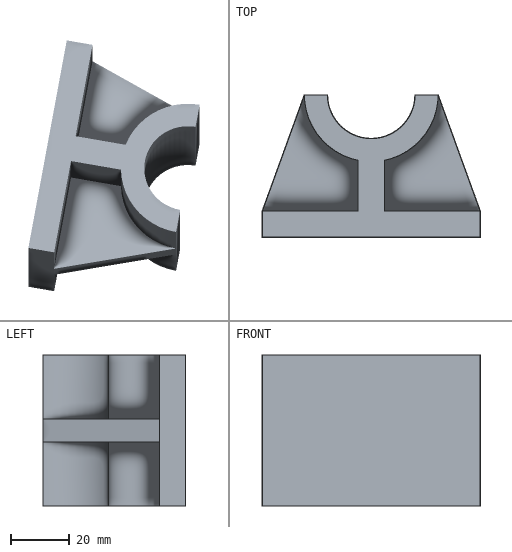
import cadquery as cq

plate_width = 75.0
plate_thickness = 9.0
height = 52.0

total_depth = 49.0
saddle_outer_radius = 23.0
saddle_bore_radius = 15.0

web_thickness = 9.0

rib_thickness = 8.0

plate_front_y = -total_depth
plate_back_y = plate_front_y + plate_thickness


def make_plate():
    return cq.Workplane("XY").box(
        plate_width, plate_thickness, height, centered=(True, False, True)
    ).translate((0, plate_front_y, 0))


def make_web():
    """Web running from the plate to the saddle axis; the bore trims its end."""
    web_length = -plate_back_y
    return cq.Workplane("XY").box(
        web_thickness, web_length, height, centered=(True, False, True)
    ).translate((0, plate_back_y, 0))


def make_saddle_body():
    """Solid half cylinder on the -Y side of the saddle axis."""
    return (
        cq.Workplane("XY")
        .moveTo(-saddle_outer_radius, 0)
        .threePointArc((0, -saddle_outer_radius), (saddle_outer_radius, 0))
        .close()
        .extrude(height / 2, both=True)
    )


def make_rib():
    """Trapezoid tapering from the plate's full width to the saddle's tips."""
    return (
        cq.Workplane("XY")
        .polyline([
            (-plate_width / 2, plate_back_y),
            (plate_width / 2, plate_back_y),
            (saddle_outer_radius, 0),
            (-saddle_outer_radius, 0),
        ])
        .close()
        .extrude(rib_thickness / 2, both=True)
    )


def make_bore():
    return cq.Workplane("XY").circle(saddle_bore_radius).extrude(height / 2, both=True)


result = (
    make_plate()
    .union(make_web())
    .union(make_saddle_body())
    .union(make_rib())
    .cut(make_bore())
)